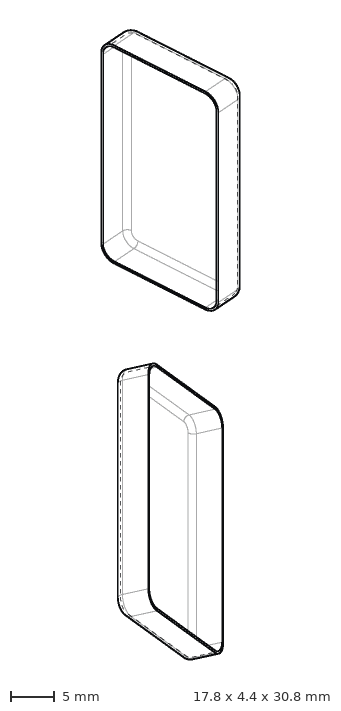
import cadquery as cq

WIDTH = 17.8
DEPTH = 4.4
HEIGHT = 30.8
WALL = 0.3
CORNER_RADIUS = 2.0
BACK_RADIUS = 1.0


def rounded_block(inset):
    """Block inset from the outer skin, from the rim plane toward +Y, rounded at corners and back edge."""
    block = (
        cq.Workplane("XZ")
        .rect(WIDTH - 2 * inset, HEIGHT - 2 * inset)
        .extrude(-(DEPTH - inset))
    )
    block = block.edges("|Y").fillet(CORNER_RADIUS - inset)
    return block.faces(">Y").edges().fillet(BACK_RADIUS - inset)


outer_body = rounded_block(inset=0)
cavity = rounded_block(inset=WALL)

result = outer_body.cut(cavity)